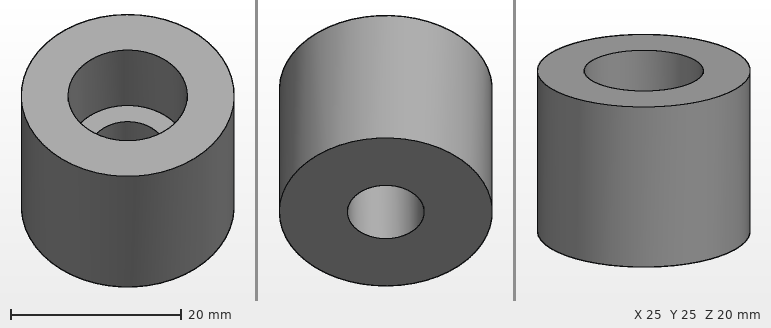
import cadquery as cq

outer_diameter = 25
height = 20
bore_diameter = 9
counterbore_diameter = 14
counterbore_depth = height / 2

sleeve = cq.Workplane("XY").circle(outer_diameter / 2).extrude(height)

result = (
    sleeve.faces(">Z")
    .workplane()
    .cboreHole(bore_diameter, counterbore_diameter, counterbore_depth)
)